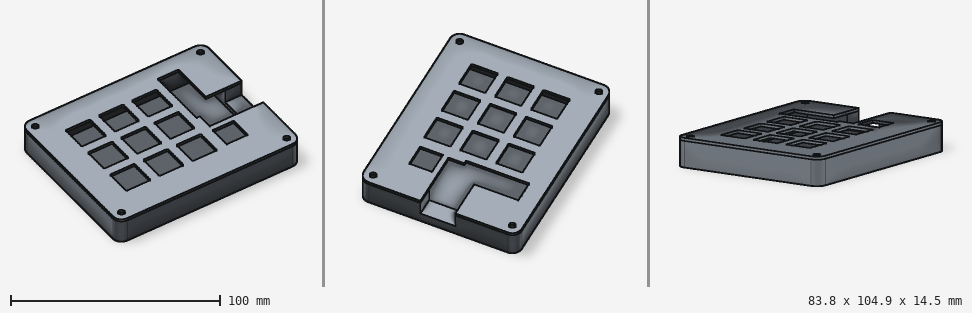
import cadquery as cq

LENGTH_X = 83.81
WIDTH_Y = 104.86
CORNER_RADIUS = 5.0
TOTAL_HEIGHT = 14.5
LID_THICKNESS = 1.5
CASE_HEIGHT = TOTAL_HEIGHT - LID_THICKNESS

SCREW_HOLE_DIAMETER = 3.4
SCREW_SPACING_X = LENGTH_X - 2 * CORNER_RADIUS
SCREW_SPACING_Y = WIDTH_Y - 2 * CORNER_RADIUS

WALL_THICKNESS = 9.5
FLOOR_THICKNESS = 3.0

SLOT_LEFT = -9.1
SLOT_RIGHT = 9.4
SLOT_FLOOR_Z = 5.4

KEY_WINDOW = 14.0
KEY_WINDOW_RADIUS = 0.5
KEY_PITCH = 19.05
KEYS_PER_SIDE = 3
KEY_GRID_X = -0.5
KEY_GRID_Y = -11.0

KNOB_WINDOW = 12.1
KNOB_X = KEY_GRID_X + KEY_PITCH
KNOB_Y = 27.3

DISPLAY_LEFT = -32.5
DISPLAY_TOP = 31.8
DISPLAY_BOTTOM = 19.8
DISPLAY_STEP_X = 1.0
DISPLAY_STEP_Y = 21.7


def rounded_slab(bottom_z, height):
    """Slab with the outer outline and a screw hole in each corner."""
    return (
        cq.Workplane("XY", origin=(0, 0, bottom_z))
        .rect(LENGTH_X, WIDTH_Y)
        .extrude(height)
        .edges("|Z")
        .fillet(CORNER_RADIUS)
        .faces(">Z")
        .workplane(origin=(0, 0, bottom_z + height))
        .rect(SCREW_SPACING_X, SCREW_SPACING_Y, forConstruction=True)
        .vertices()
        .hole(SCREW_HOLE_DIAMETER)
    )


def case_cavity():
    """Open-topped pocket that leaves the floor and four thick walls."""
    return (
        cq.Workplane("XY", origin=(0, 0, FLOOR_THICKNESS))
        .rect(LENGTH_X - 2 * WALL_THICKNESS, WIDTH_Y - 2 * WALL_THICKNESS)
        .extrude(CASE_HEIGHT - FLOOR_THICKNESS)
    )


def case_connector_slot():
    """Notch in the +Y wall, from its own raised floor to the top of the case."""
    return cq.Workplane("XY").box(
        SLOT_RIGHT - SLOT_LEFT,
        WALL_THICKNESS,
        CASE_HEIGHT - SLOT_FLOOR_Z,
        centered=False,
    ).translate((SLOT_LEFT, WIDTH_Y / 2 - WALL_THICKNESS, SLOT_FLOOR_Z))


def key_windows():
    """Grid of square windows with slightly rounded corners."""
    return (
        cq.Workplane("XY", origin=(KEY_GRID_X, KEY_GRID_Y, CASE_HEIGHT))
        .rarray(KEY_PITCH, KEY_PITCH, KEYS_PER_SIDE, KEYS_PER_SIDE)
        .rect(KEY_WINDOW, KEY_WINDOW)
        .extrude(LID_THICKNESS)
        .edges("|Z")
        .fillet(KEY_WINDOW_RADIUS)
    )


def knob_window():
    return (
        cq.Workplane("XY", origin=(KNOB_X, KNOB_Y, CASE_HEIGHT))
        .rect(KNOB_WINDOW, KNOB_WINDOW)
        .extrude(LID_THICKNESS)
    )


def display_window():
    """Display opening with a stepped lower edge, open through the connector slot to +Y."""
    edge_y = WIDTH_Y / 2
    return (
        cq.Workplane("XY", origin=(0, 0, CASE_HEIGHT))
        .moveTo(SLOT_LEFT, edge_y)
        .lineTo(SLOT_LEFT, DISPLAY_TOP)
        .lineTo(DISPLAY_LEFT, DISPLAY_TOP)
        .lineTo(DISPLAY_LEFT, DISPLAY_BOTTOM)
        .lineTo(DISPLAY_STEP_X, DISPLAY_BOTTOM)
        .lineTo(DISPLAY_STEP_X, DISPLAY_STEP_Y)
        .lineTo(SLOT_RIGHT, DISPLAY_STEP_Y)
        .lineTo(SLOT_RIGHT, edge_y)
        .close()
        .extrude(LID_THICKNESS)
    )


case = rounded_slab(0, CASE_HEIGHT).cut(case_cavity()).cut(case_connector_slot())

lid = (
    rounded_slab(CASE_HEIGHT, LID_THICKNESS)
    .cut(key_windows())
    .cut(knob_window())
    .cut(display_window())
)

result = cq.Compound.makeCompound([case.val(), lid.val()])